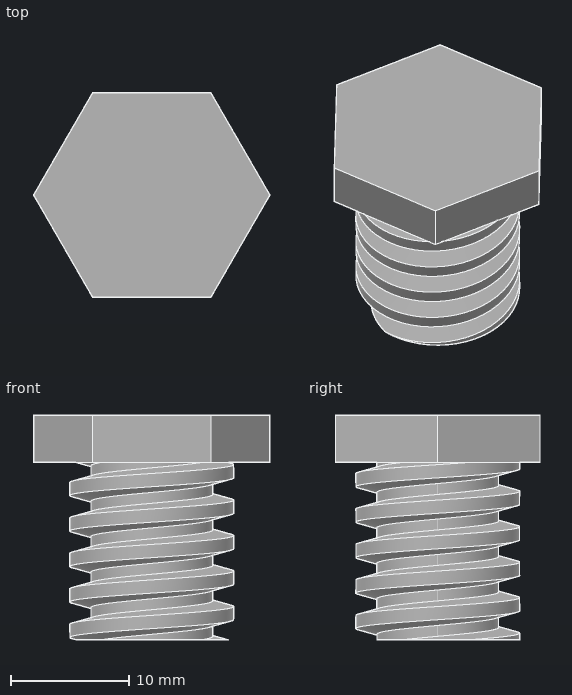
import cadquery as cq
import math

head_across_corners = 20
head_height = 4

shank_length = 15
core_diameter = 10.32
thread_diameter = 13.88

pitch = 3
crest_width = 1.12
root_width = 2.08
thread_centre_height = 0.75
root_overlap = 0.1

core_radius = core_diameter / 2
thread_radius = thread_diameter / 2


def make_head():
    """Hexagonal prism with two corners on the X axis."""
    return (
        cq.Workplane("XY", origin=(0, 0, shank_length))
        .polygon(6, head_across_corners)
        .extrude(head_height)
    )


def make_thread():
    """Helical ridge, overlong at both ends and then trimmed to the shank length."""
    flank_slope = (root_width - crest_width) / 2 / (thread_radius - core_radius)
    sunk_radius = core_radius - root_overlap
    sunk_half_width = root_width / 2 + flank_slope * root_overlap

    turns = math.ceil(shank_length / pitch) + 2
    helix = cq.Wire.makeHelix(pitch, turns * pitch, core_radius)
    ridge = (
        cq.Workplane("XZ")
        .polyline([
            (sunk_radius, -sunk_half_width),
            (thread_radius, -crest_width / 2),
            (thread_radius, crest_width / 2),
            (sunk_radius, sunk_half_width),
        ])
        .close()
        .sweep(cq.Workplane(obj=helix), isFrenet=True)
        .rotate((0, 0, 0), (0, 0, 1), 180)
        .translate((0, 0, thread_centre_height - pitch))
    )
    shank_slab = cq.Workplane("XY").box(
        head_across_corners, head_across_corners, shank_length, centered=(True, True, False)
    )
    return ridge.intersect(shank_slab)


core = cq.Workplane("XY").circle(core_radius).extrude(shank_length)
result = core.union(make_thread()).union(make_head())